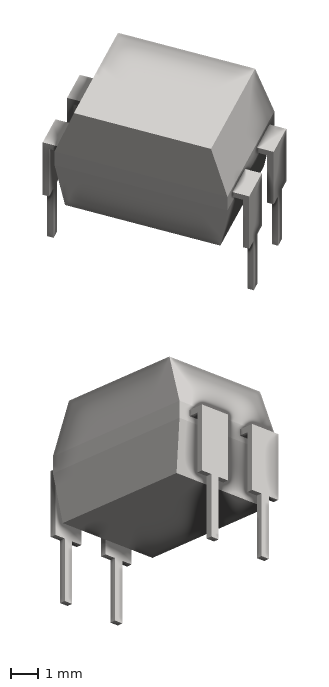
import cadquery as cq

total_height = 7.47
lead_span = 8.13

band_length = 6.805
band_width = 4.88
band_height = 0.69
taper_height = 2.065
top_length = 5.4
top_width = 4.58
bottom_length = 6.11
bottom_width = 4.53
band_top = total_height - taper_height
band_bottom = band_top - band_height

lead_thickness = 0.25
lead_pitch = 2.54
lead_top = 5.195
shoulder_bottom = 2.53
shoulder_width = 1.32
tip_width = 0.37

mark_diameter = 0.34
mark_depth = 0.08
mark_x = -1.765
mark_y = lead_pitch / 2


def tapered_half(start_z, end_z, end_length, end_width):
    """Loft from the band outline to a smaller rectangle."""
    return (
        cq.Workplane("XY", origin=(0, 0, start_z))
        .rect(band_length, band_width)
        .workplane(offset=end_z - start_z)
        .rect(end_length, end_width)
        .loft(ruled=True)
    )


def make_mark():
    """Disc whose upper face lies in the top face of the housing."""
    return (
        cq.Workplane("XY", origin=(mark_x, mark_y, total_height - mark_depth))
        .circle(mark_diameter / 2)
        .extrude(mark_depth)
    )


def make_housing(mark):
    """Band and both tapered halves, with a recess that fits the mark."""
    band = cq.Workplane("XY", origin=(0, 0, band_bottom)).rect(band_length, band_width).extrude(band_height)
    upper_half = tapered_half(band_top, total_height, top_length, top_width)
    lower_half = tapered_half(band_bottom, band_bottom - taper_height, bottom_length, bottom_width)
    return band.union(upper_half).union(lower_half).cut(mark)


def make_lead(side, y):
    """Lead on the side of the housing given by the sign of X; its arm butts against the band."""
    inner_x = side * band_length / 2
    outer_x = side * lead_span / 2
    leg_inner_x = outer_x - side * lead_thickness
    shoulder = (
        cq.Workplane("XZ", origin=(0, y, 0))
        .moveTo(inner_x, lead_top)
        .lineTo(outer_x, lead_top)
        .lineTo(outer_x, shoulder_bottom)
        .lineTo(leg_inner_x, shoulder_bottom)
        .lineTo(leg_inner_x, lead_top - lead_thickness)
        .lineTo(inner_x, lead_top - lead_thickness)
        .close()
        .extrude(shoulder_width / 2, both=True)
    )
    tip = (
        cq.Workplane("XY", origin=((outer_x + leg_inner_x) / 2, y, 0))
        .rect(lead_thickness, tip_width)
        .extrude(shoulder_bottom)
    )
    return shoulder.union(tip)


mark = make_mark()
housing = make_housing(mark)
leads = [make_lead(side, y) for side in (-1, 1) for y in (-lead_pitch / 2, lead_pitch / 2)]

result = cq.Compound.makeCompound([housing.val(), mark.val(), *[lead.val() for lead in leads]])